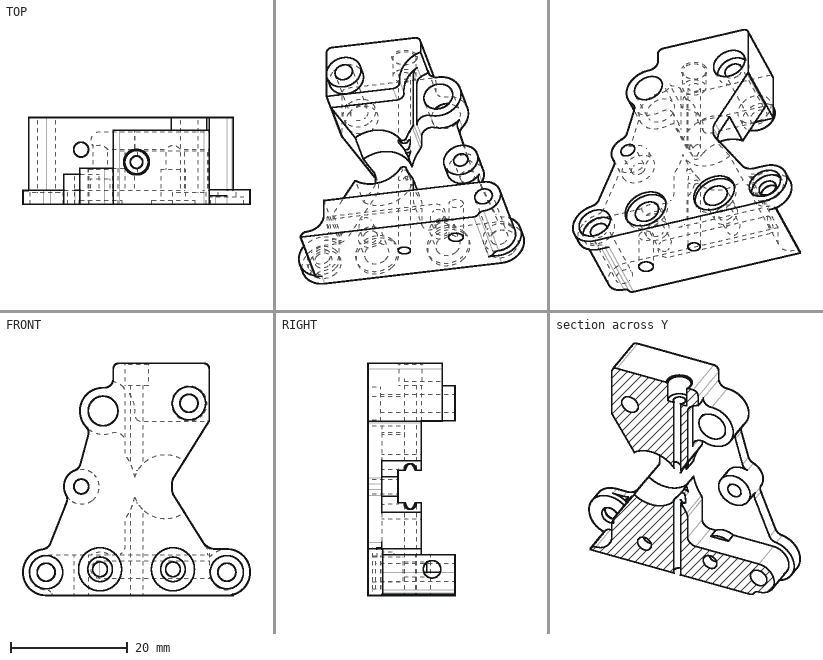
import cadquery as cq
import math


plate_depth = 2.4
small_boss_depth = 5.2
pivot_boss_depth = 6.2
body_depth = 9.17
head_depth = 12.75
total_depth = 14.95
right_foot_depth = 2.55
right_foot_web_depth = 1.5

foot_x = 15.5
foot_radius = 4.0
bottom_z = -foot_radius
base_radius = 3.0
base_top_z = base_radius
base_right_x = foot_x - base_radius
lip_end_x = 16.6
step_radius = 1.0
step_height = foot_radius - base_radius
step_angle = math.acos(1 - step_height / (2 * step_radius))
step_half_run = step_radius * math.sin(step_angle)

head_left_x = -4.0
head_right_x = 12.5
head_top_z = 35.86
head_bottom_z = 25.9
head_corner_radius = 1.0
head_foot_radius = 1.2
head_screw = (9.0, 28.97)
head_boss_diameter = 6.04

gear_z = 14.7
waist_x = 6.1
waist_half_height = 1.05
flank_slope = 1.6
flank_foot_x = waist_x + (gear_z - foot_radius - waist_half_height) / flank_slope
body_left_x = -2.0

pivot = (-5.73, 27.66)
pivot_radius = 4.0
pivot_bore = 5.05
lever_clearance_radius = 5.4
gear_axle = (-9.47, gear_z)
small_boss_radius = 3.0
axle_bore = 2.5

upper_edge = ((-9.95, 17.4), (-7.95, 24.8))
lower_edge = ((-15.4, 3.4), (-11.5, 13.25))

plate_blend = 1.5
head_blend = 1.5
body_boss_blend = 1.7
lever_blend = 1.5
base_blend = 1.5
pocket_mouth_radius = 1.2
pocket_tip_radius = 0.4
waist_radius = 2.0
shoulder_radius = 1.5
foot_blend = 2.5

idler_pocket_radius = 9.27
drive_axis_x = 4.9
drive_pocket_radius = 5.5
gear_gap_height = 5.5

screw_diameter = 3.05
screw_head_diameter = 5.7
screw_head_depth = 2.1
right_screw_head_depth = 1.3
insert_x = 6.25
insert_z = 0.5
insert_recess_diameter = 7.4
insert_recess_depth = 0.75
insert_diameter = 4.23
insert_depth = 6.0
insert_pilot_diameter = 2.53
insert_pilot_depth = 11.0
cross_bore_diameter = 3.0
cross_bore_end_x = -6.35
insert_boss_diameter = 6.0
insert_boss_depth = 4.4
filament_y = 7.25
filament_diameter = 2.1
tube_diameter = 4.0
tube_depth = 3.8
tube_chamfer = 0.2
base_hole = (-9.5, 9.4)
base_hole_diameter = 2.5


def front_sketch(start_depth=0.0):
    """Sketch plane facing the back, with local axes equal to world X and Z."""
    return cq.Workplane(cq.Plane(origin=(0, start_depth, 0), xDir=(1, 0, 0), normal=(0, -1, 0)))


def disc(center, radius, start_depth, end_depth):
    return front_sketch(start_depth).center(*center).circle(radius).extrude(start_depth - end_depth)


def fillet_near(solid, x, z, depth, radius):
    """Round the edge along Y that passes closest to (x, z) at the given depth."""
    selector = cq.selectors.NearestToPointSelector((x, depth, z))
    return solid.edges("|Y").edges(selector).fillet(radius)


def flank_offset(x):
    """Height of the slanted right flank above or below the gear axis."""
    return waist_half_height + flank_slope * (x - waist_x)


def right_outline(sketch):
    """Continue a sketch from the head top, down the right side to foot height."""
    return (
        sketch.lineTo(head_right_x, head_top_z)
        .lineTo(head_right_x, gear_z + flank_offset(head_right_x))
        .lineTo(waist_x, gear_z + waist_half_height)
        .lineTo(waist_x, gear_z - waist_half_height)
        .lineTo(flank_foot_x, foot_radius)
    )


def round_right_side(solid, depth):
    solid = fillet_near(solid, head_right_x, gear_z + flank_offset(head_right_x), depth, shoulder_radius)
    for side in (-1, 1):
        solid = fillet_near(solid, waist_x, gear_z + side * waist_half_height, depth, waist_radius)
    return solid


def make_plate():
    outline = right_outline(front_sketch().moveTo(head_left_x, head_top_z))
    plate = (
        outline.lineTo(foot_x, foot_radius)
        .lineTo(foot_x, bottom_z)
        .lineTo(-foot_x, bottom_z)
        .lineTo(*lower_edge[0])
        .lineTo(*lower_edge[1])
        .lineTo(*gear_axle)
        .lineTo(*upper_edge[0])
        .lineTo(*upper_edge[1])
        .lineTo(*pivot)
        .lineTo(head_left_x, pivot[1])
        .close()
        .extrude(-plate_depth)
    )
    plate = plate.union(disc((-foot_x, 0), foot_radius, 0, plate_depth))
    plate = plate.union(disc((foot_x, 0), foot_radius, 0, plate_depth))
    plate = plate.union(disc(pivot, pivot_radius, 0, plate_depth))
    plate = plate.union(disc(gear_axle, small_boss_radius, 0, plate_depth))
    middle = plate_depth / 2
    for x, z in upper_edge + lower_edge:
        plate = fillet_near(plate, x, z, middle, plate_blend)
    plate = fillet_near(plate, flank_foot_x, foot_radius, middle, foot_blend)
    plate = round_right_side(plate, middle)
    web_relief = (
        front_sketch(right_foot_web_depth)
        .moveTo(base_right_x, 0)
        .lineTo(foot_x, 0)
        .lineTo(foot_x, foot_radius)
        .lineTo(base_right_x, foot_radius + foot_blend)
        .close()
        .extrude(right_foot_web_depth - plate_depth)
    )
    plate = plate.cut(web_relief)
    return plate.union(disc((foot_x, 0), foot_radius, 0, right_foot_depth))


def make_head():
    """Deep block at the top, with the pivot boss and the clearance for the lever around it."""
    width = head_right_x - head_left_x
    height = head_top_z - head_bottom_z
    head = (
        front_sketch()
        .rect(width, height)
        .extrude(-head_depth)
        .translate((head_left_x + width / 2, 0, head_bottom_z + height / 2))
    )
    head = head.union(disc(pivot, pivot_radius, 0, pivot_boss_depth))
    boss_rise = math.sqrt(pivot_radius ** 2 - (head_left_x - pivot[0]) ** 2)
    head = fillet_near(head, head_left_x, pivot[1] + boss_rise, pivot_boss_depth / 2, head_blend)
    head = head.cut(disc(pivot, lever_clearance_radius, pivot_boss_depth, head_depth))
    corner_x = pivot[0] + math.sqrt(lever_clearance_radius ** 2 - (head_bottom_z - pivot[1]) ** 2)
    middle = (pivot_boss_depth + head_depth) / 2
    head = fillet_near(head, corner_x, head_bottom_z, middle, head_foot_radius)
    return head.union(disc(head_screw, head_boss_diameter / 2, 0, total_depth))


def make_base():
    """Bar behind the plate: round left end, right end hollowed around the right foot screw."""
    mid_step_z = bottom_z + step_height / 2
    bend = step_angle / 2
    bend_x = step_radius * math.sin(bend)
    bend_z = step_radius * (1 - math.cos(bend))
    lip_drop_run = foot_x + 2 * step_half_run - lip_end_x
    lip_end_z = -base_radius - math.sqrt(step_radius ** 2 - lip_drop_run ** 2)
    lip_mid_run = (step_half_run + lip_drop_run) / 2
    lip_mid_z = -base_radius - math.sqrt(step_radius ** 2 - lip_mid_run ** 2)
    diagonal = base_radius * math.sqrt(0.5)
    return (
        front_sketch(plate_depth)
        .moveTo(base_right_x, base_top_z)
        .lineTo(base_right_x, 0)
        .threePointArc((foot_x - diagonal, -diagonal), (foot_x, -base_radius))
        .threePointArc((foot_x + bend_x, -base_radius - bend_z), (foot_x + step_half_run, mid_step_z))
        .threePointArc((foot_x + 2 * step_half_run - lip_mid_run, lip_mid_z), (lip_end_x, lip_end_z))
        .lineTo(lip_end_x, bottom_z)
        .lineTo(-foot_x + 2 * step_half_run, bottom_z)
        .threePointArc(
            (-foot_x + 2 * step_half_run - bend_x, bottom_z + bend_z),
            (-foot_x + step_half_run, mid_step_z),
        )
        .threePointArc((-foot_x + bend_x, -base_radius - bend_z), (-foot_x, -base_radius))
        .threePointArc((-foot_x - base_radius, 0), (-foot_x, base_radius))
        .close()
        .extrude(plate_depth - total_depth)
    )


def make_body():
    """Block behind the plate, between the head and the base, with the idler pocket in its left wall."""
    body = (
        right_outline(front_sketch().moveTo(body_left_x, head_top_z))
        .lineTo(base_right_x, bottom_z)
        .lineTo(body_left_x, bottom_z)
        .close()
        .extrude(-body_depth)
    )
    middle = body_depth / 2
    body = round_right_side(body, middle)
    body = body.cut(disc(gear_axle, idler_pocket_radius, 0, body_depth))
    mouth_rise = math.sqrt(idler_pocket_radius ** 2 - (body_left_x - gear_axle[0]) ** 2)
    for side in (-1, 1):
        body = fillet_near(body, body_left_x, gear_z + side * mouth_rise, middle, pocket_mouth_radius)
    return body


def cut_gear_space(solid):
    """Pocket for the drive gear and the gap where both gears meet at the filament."""
    drive_pocket = disc((drive_axis_x, gear_z), drive_pocket_radius, plate_depth, body_depth)
    gap_depth = body_depth - small_boss_depth
    gap = cq.Workplane().box(2 * foot_x, gap_depth, gear_gap_height)
    gap = gap.translate((0, small_boss_depth + gap_depth / 2, gear_z))
    solid = solid.cut(drive_pocket).cut(gap)
    half_gap = gear_gap_height / 2
    tip_x = gear_axle[0] + math.sqrt(idler_pocket_radius ** 2 - half_gap ** 2)
    middle = (small_boss_depth + body_depth) / 2
    for side in (-1, 1):
        solid = fillet_near(solid, tip_x, gear_z + side * half_gap, middle, pocket_tip_radius)
    return solid


def cut_holes(solid):
    screws = (
        ((-foot_x, 0), screw_head_depth),
        ((foot_x, 0), right_screw_head_depth),
        (head_screw, screw_head_depth),
    )
    for center, recess_depth in screws:
        solid = solid.cut(disc(center, screw_diameter / 2, 0, total_depth))
        solid = solid.cut(disc(center, screw_head_diameter / 2, 0, recess_depth))
    for center in ((-insert_x, insert_z), (insert_x, insert_z)):
        solid = solid.cut(disc(center, insert_recess_diameter / 2, 0, insert_recess_depth))
        solid = solid.cut(disc(center, insert_diameter / 2, 0, insert_depth))
        solid = solid.cut(disc(center, insert_pilot_diameter / 2, 0, insert_pilot_depth))
    solid = solid.cut(disc(pivot, pivot_bore / 2, 0, pivot_boss_depth))
    solid = solid.cut(disc(gear_axle, axle_bore / 2, 0, small_boss_depth))
    return solid


def vertical_hole(center, diameter, start_z, end_z):
    return cq.Workplane("XY", origin=(*center, start_z)).circle(diameter / 2).extrude(end_z - start_z)


def cut_vertical_holes(solid):
    filament = (0, filament_y)
    tube = vertical_hole(filament, tube_diameter, head_top_z - tube_depth, head_top_z)
    chamfer = (
        cq.Workplane("XY", origin=(*filament, head_top_z))
        .circle(tube_diameter / 2 + tube_chamfer)
        .extrude(-tube_chamfer, taper=45)
    )
    solid = solid.cut(vertical_hole(filament, filament_diameter, bottom_z, head_top_z))
    solid = solid.cut(tube).cut(chamfer)
    return solid.cut(vertical_hole(base_hole, base_hole_diameter, bottom_z, base_top_z))


def make_cross_bore():
    """Round-ended bore along X from the right end of the base, crossing both insert pilots."""
    radius = cross_bore_diameter / 2
    length = base_right_x - cross_bore_end_x
    end = (cross_bore_end_x, insert_pilot_depth, insert_z)
    bore = cq.Workplane("YZ", origin=end).circle(radius).extrude(length)
    return bore.union(cq.Workplane("XY", origin=end).sphere(radius))


def make_walls():
    """Body, head and base joined, with the blends along the left wall of the body."""
    wall_run = body_left_x - pivot[0]
    boss_drop = math.sqrt(pivot_radius ** 2 - wall_run ** 2)
    clearance_rise = math.sqrt(lever_clearance_radius ** 2 - wall_run ** 2)
    rib_middle = (pivot_boss_depth + body_depth) / 2

    walls = make_body().union(disc(pivot, pivot_radius, 0, pivot_boss_depth))
    walls = fillet_near(walls, body_left_x, pivot[1] - boss_drop, pivot_boss_depth / 2, body_boss_blend)
    walls = walls.union(make_head())
    walls = fillet_near(walls, body_left_x, pivot[1] + clearance_rise, rib_middle, lever_blend)
    walls = walls.union(make_base())
    walls = fillet_near(walls, body_left_x, base_top_z, body_depth / 2, base_blend)
    return walls


def make_bosses():
    """Idler axle boss and the two insert bosses."""
    bosses = disc(gear_axle, small_boss_radius, 0, small_boss_depth)
    for side in (-1, 1):
        center = (side * insert_x, insert_z)
        bosses = bosses.union(disc(center, insert_boss_diameter / 2, 0, insert_boss_depth))
    return bosses


def round_head_corners(solid):
    for x in (head_left_x, head_right_x):
        solid = fillet_near(solid, x, head_top_z, head_depth / 2, head_corner_radius)
    return solid


result = make_walls().union(make_plate()).union(make_bosses())
result = round_head_corners(result)
result = cut_gear_space(result)
result = cut_holes(result)
result = result.cut(make_cross_bore())
result = cut_vertical_holes(result)